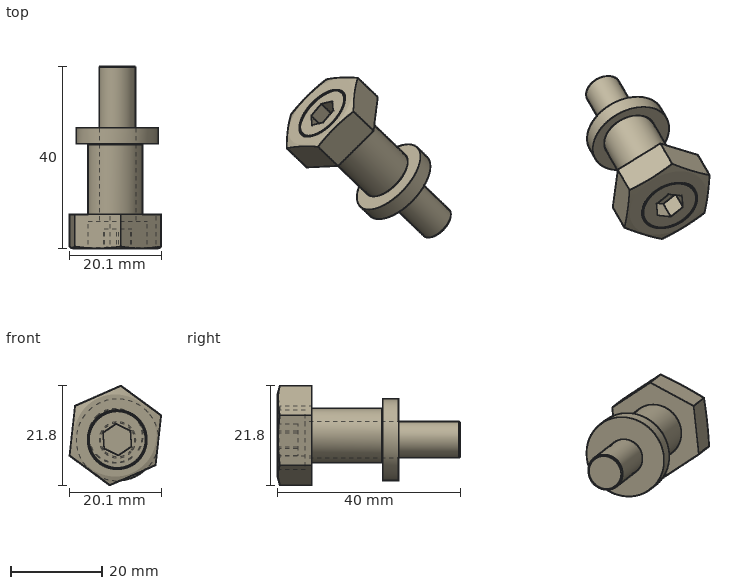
import cadquery as cq
import math

HEX_FLATS = 19.0
HEX_HEIGHT = 7.5
HEX_TURN = -6.3
HEX_FACE_DIAMETER = 18.0
HEX_CHAMFER_ANGLE = 15.0
SHANK_DIAMETER = 12.0
BUSH_LENGTH = 23.0
SHANK_CHAMFER = 0.15

ECCENTRICITY = 1.0
ECCENTRIC_DIRECTION = -65.0
SCREW_LENGTH = 40.0
THREAD_DIAMETER = 8.0
TIP_CHAMFER = 0.3
HEAD_DIAMETER = 13.0
HEAD_HEIGHT = 6.0
HEAD_CHAMFER = 0.3
SOCKET_FLATS = 6.0
SOCKET_DEPTH = 4.4
SOCKET_TURN = 4.0

WASHER_DIAMETER = 18.0
WASHER_THICKNESS = 3.5

SCREW_X = ECCENTRICITY * math.cos(math.radians(ECCENTRIC_DIRECTION))
SCREW_Z = ECCENTRICITY * math.sin(math.radians(ECCENTRIC_DIRECTION))


def cylinder(diameter, start, end, x=0, z=0):
    """Cylinder parallel to Y, from Y = start to Y = end."""
    base = cq.Workplane("XZ", origin=(x, start, z))
    return base.circle(diameter / 2).extrude(start - end)


def hex_prism(flats, height, turn, x=0, z=0):
    """Hexagonal prism from Y = 0 to Y = height; at zero turn a corner points to +Z."""
    corner_diameter = flats / math.cos(math.pi / 6)
    base = cq.Workplane("XZ", origin=(x, 0, z))
    base = base.transformed(rotate=(0, 0, 90 + turn))
    return base.polygon(6, corner_diameter).extrude(-height)


def chamfered_hex():
    """Bush hexagon with its front corners cut back by a shallow cone."""
    prism = hex_prism(HEX_FLATS, HEX_HEIGHT, HEX_TURN)
    face_radius = HEX_FACE_DIAMETER / 2
    outer_radius = HEX_FLATS / math.cos(math.pi / 6) / 2 + 0.4
    cone_depth = (outer_radius - face_radius) * math.tan(math.radians(HEX_CHAMFER_ANGLE))
    envelope = (
        cq.Workplane("XY")
        .moveTo(0, 0)
        .lineTo(face_radius, 0)
        .lineTo(outer_radius, cone_depth)
        .lineTo(outer_radius, HEX_HEIGHT)
        .lineTo(0, HEX_HEIGHT)
        .close()
        .revolve(360, (0, 0), (0, 1))
    )
    return prism.intersect(envelope)


def make_bush():
    """Hexagon and shank with an eccentric bore, counterbored for the screw head."""
    shank = cylinder(SHANK_DIAMETER, 0, BUSH_LENGTH).faces(">Y").chamfer(SHANK_CHAMFER)
    bore = cylinder(THREAD_DIAMETER, 0, BUSH_LENGTH, SCREW_X, SCREW_Z)
    counterbore = cylinder(HEAD_DIAMETER, 0, HEAD_HEIGHT, SCREW_X, SCREW_Z)
    return chamfered_hex().union(shank).cut(bore).cut(counterbore)


def make_screw():
    """Cap screw with a hexagon socket."""
    head = cylinder(HEAD_DIAMETER, 0, HEAD_HEIGHT, SCREW_X, SCREW_Z)
    head = head.faces("<Y").chamfer(HEAD_CHAMFER)
    stud = cylinder(THREAD_DIAMETER, 0, SCREW_LENGTH, SCREW_X, SCREW_Z)
    stud = stud.faces(">Y").chamfer(TIP_CHAMFER)
    socket = hex_prism(SOCKET_FLATS, SOCKET_DEPTH, SOCKET_TURN, SCREW_X, SCREW_Z)
    return head.union(stud).cut(socket)


def make_washer():
    """Plain ring that fits the screw thread."""
    back = BUSH_LENGTH + WASHER_THICKNESS
    disc = cylinder(WASHER_DIAMETER, BUSH_LENGTH, back, SCREW_X, SCREW_Z)
    hole = cylinder(THREAD_DIAMETER, BUSH_LENGTH, back, SCREW_X, SCREW_Z)
    return disc.cut(hole)


bush = make_bush()
screw = make_screw()
washer = make_washer()

result = cq.Compound.makeCompound([bush.val(), screw.val(), washer.val()])